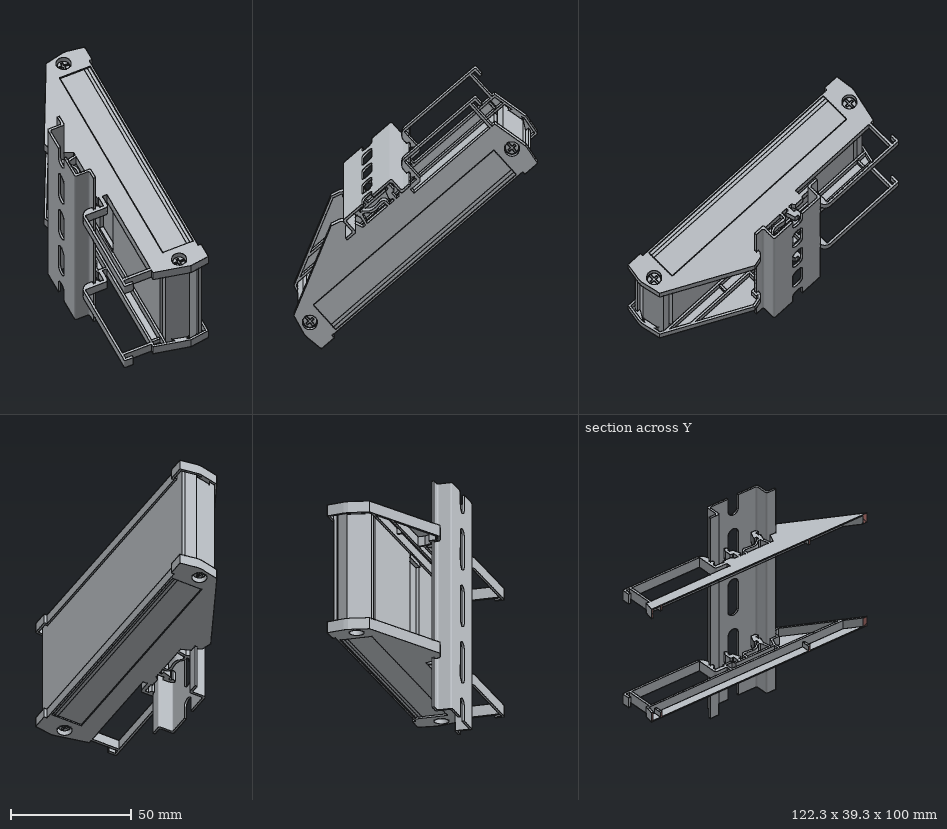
import cadquery as cq


RAIL_LENGTH = 100.0
RAIL_WIDTH = 35.0
RAIL_CHANNEL = 27.0
RAIL_HEIGHT = 7.5
RAIL_THICK = 1.0
RAIL_FRONT = -19.65
RAIL_BEND = 0.8
RAIL_SLOT_LENGTH = 18.0
RAIL_SLOT_WIDTH = 5.4
RAIL_SLOT_PITCH = 25.0

FLANGE_BACK = RAIL_FRONT + RAIL_HEIGHT
FLANGE_FRONT = FLANGE_BACK - RAIL_THICK
FLANGE_END = RAIL_WIDTH / 2
WEB_BACK = RAIL_FRONT + RAIL_THICK

PLATE_THICK = 4.9
PLATE_OUTER = 28.3
PLATE_INNER = PLATE_OUTER - PLATE_THICK
FLOOR_THICK = 0.75
RIM = 1.0
BODY_END = PLATE_OUTER - FLOOR_THICK

PLATE_SIDE = 61.15
EAR_BACK = 19.65
EAR_OUTER = 59.95
EAR_INNER = 52.8
PLATE_BACK = 18.3
PLATE_FRONT = -4.8
CLIP_FRONT = -7.95
STEP_FRONT = -9.3
NOTCH_CORNER = -12.6
STEP_END = 13.0

WINDOW_HALF = 50.0
WINDOW_BACK = 17.4
WINDOW_FRONT = 3.4

RIB_POSITIONS = (-26.0, 53.0)
RIB_DROP = 1.8

BODY_FRONT = 1.25
BODY_BACK = 17.5
BODY_SIDE = 59.2
BODY_WIDEST_Y = 11.2
BODY_FRONT_HALF = 56.9
BODY_NECK_HALF = 56.4
BODY_BACK_HALF = 57.9
SIDE_GROOVE_INNER = 51.9
SIDE_GROOVE_OUTER = 54.0
SIDE_GROOVE_BOTTOM = 3.2
KEYWAY_HALF = 6.2
KEYWAY_DEPTH = 1.5
TAB_LENGTH = 1.8
TAB_PROUD = 0.3

BOARD_BACK = 16.05
BOARD_THICK = 1.45
BOARD_HALF = 53.5

SCREW_X = 56.0
SCREW_Y = 8.0
HEAD_DIA = 5.6
HEAD_HEIGHT = 1.5
HEAD_EDGE = 0.6
HEAD_SINK = 1.9
COUNTERBORE_DIA = 6.2
BOSS_DIA = 8.4
SHANK_DIA = 3.0
SHANK_LENGTH = 10.0
DRIVE_WIDTH = 0.9
DRIVE_DEPTH = 0.8
SLOT_DRIVE_LENGTH = HEAD_DIA
CROSS_DRIVE_LENGTH = 3.6


def box(x0, x1, y0, y1, z0, z1):
    """Axis-aligned block between two corners."""
    return cq.Workplane("XY").box(x1 - x0, y1 - y0, z1 - z0, centered=False).translate((x0, y0, z0))


def plate_layer(points):
    """Closed outline extruded over the full plate thickness."""
    return cq.Workplane("XY").workplane(offset=PLATE_INNER).polyline(points).close().extrude(PLATE_THICK)


def screw_pattern(z):
    """Workplane at height z with a point on each screw axis of one end plate."""
    return cq.Workplane("XY").workplane(offset=z).pushPoints([(-SCREW_X, SCREW_Y), (SCREW_X, SCREW_Y)])


def mirrored(solid):
    """Copy of a solid for the opposite (-Z) end."""
    return solid.mirror("XY")


def make_rail():
    channel = RAIL_CHANNEL / 2
    inside = channel - RAIL_THICK
    half = [
        (channel, RAIL_FRONT),
        (channel, FLANGE_FRONT),
        (FLANGE_END, FLANGE_FRONT),
        (FLANGE_END, FLANGE_BACK),
        (inside, FLANGE_BACK),
        (inside, WEB_BACK),
    ]
    other_half = [(-x, y) for x, y in reversed(half)]
    rail = (
        cq.Workplane("XY").workplane(offset=-RAIL_LENGTH / 2)
        .polyline(half + other_half).close().extrude(RAIL_LENGTH)
    )
    bends = [(x, y) for x in (channel, -channel) for y in (RAIL_FRONT, FLANGE_FRONT)]
    bends += [(x, y) for x in (inside, -inside) for y in (FLANGE_BACK, WEB_BACK)]
    for x, y in bends:
        rail = rail.edges(cq.selectors.NearestToPointSelector((x, y, 0))).fillet(RAIL_BEND)
    slots = (
        cq.Workplane("XZ", origin=(0, WEB_BACK, 0))
        .pushPoints([(0, n * RAIL_SLOT_PITCH) for n in range(-2, 3)])
        .slot2D(RAIL_SLOT_LENGTH, RAIL_SLOT_WIDTH, 90)
        .extrude(RAIL_THICK)
    )
    return rail.cut(slots)


def body_blank():
    """Extruded housing section with its side grooves and the front keyway for the plate tabs."""
    half = [
        (KEYWAY_HALF, BODY_FRONT + KEYWAY_DEPTH),
        (KEYWAY_HALF, BODY_FRONT),
        (SIDE_GROOVE_INNER, BODY_FRONT),
        (SIDE_GROOVE_INNER, SIDE_GROOVE_BOTTOM),
        (SIDE_GROOVE_OUTER, BODY_FRONT),
        (BODY_FRONT_HALF, BODY_FRONT),
        (BODY_SIDE, BODY_WIDEST_Y),
        (BODY_NECK_HALF, BOARD_BACK),
        (BODY_BACK_HALF, BOARD_BACK),
        (BODY_BACK_HALF, BODY_BACK),
    ]
    other_half = [(-x, y) for x, y in reversed(half)]
    return (
        cq.Workplane("XY").workplane(offset=-BODY_END)
        .polyline(half + other_half).close().extrude(2 * BODY_END)
    )


def make_board():
    return box(-BOARD_HALF, BOARD_HALF, BOARD_BACK - BOARD_THICK, BOARD_BACK, -BODY_END, BODY_END)


def make_body(board, screws):
    body = body_blank().cut(board)
    bosses = screw_pattern(PLATE_INNER).circle(BOSS_DIA / 2).extrude(PLATE_THICK)
    body = body.cut(bosses).cut(mirrored(bosses))
    for screw in screws:
        body = body.cut(screw)
    return body


def plate_outline():
    """Plate outline: sloped front left edge, hooked lip over the rail flange, stepped front right edge."""
    return (
        cq.Workplane("XY").workplane(offset=PLATE_INNER)
        .moveTo(-EAR_OUTER, EAR_BACK)
        .lineTo(-PLATE_SIDE, 11.9)
        .lineTo(-PLATE_SIDE, 10.1)
        .lineTo(-59.1, 1.4)
        .lineTo(-22.0, -17.1)
        .lineTo(-19.1, -16.3)
        .threePointArc((-17.2, -15.4), (-16.4, -14.2))
        .lineTo(-16.4, FLANGE_FRONT)
        .lineTo(-FLANGE_END, FLANGE_FRONT)
        .lineTo(-FLANGE_END, FLANGE_BACK)
        .lineTo(-14.4, FLANGE_BACK)
        .lineTo(NOTCH_CORNER, CLIP_FRONT)
        .lineTo(7.6, CLIP_FRONT)
        .lineTo(8.6, STEP_FRONT)
        .lineTo(STEP_END, STEP_FRONT)
        .lineTo(STEP_END, PLATE_FRONT)
        .lineTo(57.7, PLATE_FRONT)
        .lineTo(PLATE_SIDE, 11.1)
        .lineTo(EAR_OUTER, EAR_BACK)
        .lineTo(EAR_INNER, EAR_BACK)
        .lineTo(EAR_INNER, PLATE_BACK)
        .lineTo(-EAR_INNER, PLATE_BACK)
        .lineTo(-EAR_INNER, EAR_BACK)
        .close()
    )


def left_hook():
    """Springy hook that presses into the left inside corner of the rail."""
    return plate_layer([
        (-11.2, CLIP_FRONT + RIM), (-11.2, CLIP_FRONT), (-10.5, -11.7), (-11.65, -15.1),
        (-10.9, -15.5), (-10.9, -17.1), (-12.3, -17.2), (-11.7, WEB_BACK), (-9.4, WEB_BACK),
        (-7.9, -15.4), (-7.9, -14.5), (-9.1, -14.5), (-9.1, -12.0), (-10.15, CLIP_FRONT),
        (-10.15, CLIP_FRONT + RIM),
    ])


def wavy_spring():
    """Curved leaf joining the left hook to the plate front edge."""
    back_curve = [(-6.1, -10.4), (-3.6, -9.75), (-1.6, -10.0)]
    front_curve = [(-3.6, -10.85), (-6.0, -11.5), (-8.2, -13.3)]
    return (
        cq.Workplane("XY").workplane(offset=PLATE_INNER)
        .moveTo(-9.2, -12.0)
        .lineTo(-8.2, -12.0)
        .spline(back_curve, tangents=[(1, 0.3), (1, -0.1)], includeCurrent=True)
        .lineTo(1.05, -10.0)
        .lineTo(1.05, CLIP_FRONT + RIM)
        .lineTo(2.15, CLIP_FRONT + RIM)
        .lineTo(2.15, -9.6)
        .threePointArc((1.45, -10.75), (-0.6, -11.15))
        .spline(front_curve, tangents=[(-1, 0.1), (-1, -0.5)], includeCurrent=True)
        .lineTo(-9.2, -13.3)
        .close()
        .extrude(PLATE_THICK)
    )


def right_hook():
    """Free-standing barbed finger on the plate front edge."""
    return plate_layer([
        (4.7, CLIP_FRONT + RIM), (4.7, -8.9), (3.4, -9.2), (4.7, -13.2), (6.2, -13.4), (6.2, -14.4),
        (5.4, -14.7), (5.9, -16.3), (6.8, -16.3), (7.7, -14.4), (7.7, -11.2), (6.8, -10.9), (6.1, -10.9),
        (6.1, CLIP_FRONT + RIM),
    ])


def release_latch():
    """Spring arm, catch around the right rail flange, and the long release bar with its grip."""
    arm_back = -6.85
    arm_front = -8.55
    arm_inner = 17.6
    arm_outer = 19.0
    corner = 1.4
    catch_face = 16.35
    bar_front = -18.6
    bar_back = -17.5
    grip_inner = 58.05
    grip_outer = 59.2
    grip_top = -14.5
    grip_corner = 0.5
    post_left = 55.0
    post_right = 56.2
    latch = (
        cq.Workplane("XY").workplane(offset=PLATE_INNER)
        .moveTo(STEP_END - RIM, arm_back)
        .lineTo(arm_outer - corner, arm_back)
        .radiusArc((arm_outer, arm_back - corner), corner)
        .lineTo(arm_outer, bar_back)
        .lineTo(grip_inner, bar_back)
        .lineTo(grip_inner, grip_top)
        .lineTo(grip_outer, grip_top)
        .lineTo(grip_outer, bar_front + grip_corner)
        .radiusArc((grip_outer - grip_corner, bar_front), grip_corner)
        .lineTo(19.6, bar_front)
        .threePointArc((17.2, -17.3), (catch_face, -15.0))
        .lineTo(catch_face, FLANGE_FRONT)
        .lineTo(FLANGE_END, FLANGE_FRONT)
        .lineTo(FLANGE_END, FLANGE_BACK)
        .lineTo(catch_face, FLANGE_BACK)
        .lineTo(catch_face, -10.9)
        .lineTo(arm_inner, -10.1)
        .lineTo(arm_inner, arm_front)
        .lineTo(STEP_END - RIM, arm_front)
        .close()
        .extrude(PLATE_THICK)
    )
    post = box(post_left, post_right, bar_back - RIM, PLATE_FRONT + RIM, PLATE_INNER, PLATE_OUTER)
    return latch.union(post)


def inner_walls():
    """Stiffening walls in the plate cavity, ahead of the body, and the lower cross ribs between them."""
    near_body = box(-BODY_SIDE, BODY_SIDE, BODY_FRONT - RIM, BODY_FRONT, PLATE_INNER, PLATE_OUTER)
    front = box(-BODY_SIDE, STEP_END, PLATE_FRONT, PLATE_FRONT + RIM, PLATE_INNER, PLATE_OUTER)
    notch_side = box(
        NOTCH_CORNER - RIM, NOTCH_CORNER, CLIP_FRONT, PLATE_FRONT + RIM, PLATE_INNER, PLATE_OUTER,
    )
    walls = near_body.union(front).union(notch_side)
    for x in RIB_POSITIONS:
        walls = walls.union(box(x, x + RIM, PLATE_FRONT, BODY_FRONT, PLATE_INNER + RIB_DROP, PLATE_OUTER))
    return walls


def make_top_plate():
    blank = plate_outline().extrude(PLATE_THICK)
    cavity = plate_outline().offset2D(-RIM, "intersection").extrude(PLATE_THICK - FLOOR_THICK)
    plate = blank.cut(cavity)
    plate = plate.union(inner_walls().intersect(blank))
    for feature in (left_hook(), wavy_spring(), right_hook(), release_latch()):
        plate = plate.union(feature)

    tab = box(
        -KEYWAY_HALF, KEYWAY_HALF, BODY_FRONT - TAB_PROUD, BODY_FRONT + KEYWAY_DEPTH,
        PLATE_INNER - TAB_LENGTH, PLATE_OUTER,
    )
    bosses = screw_pattern(PLATE_INNER).circle(BOSS_DIA / 2).extrude(PLATE_THICK)
    plate = plate.cut(body_blank()).union(tab).union(bosses)

    window = box(-WINDOW_HALF, WINDOW_HALF, WINDOW_FRONT, WINDOW_BACK, BODY_END, PLATE_OUTER)
    counterbore_depth = HEAD_SINK + HEAD_HEIGHT
    counterbores = (
        screw_pattern(PLATE_OUTER - counterbore_depth)
        .circle(COUNTERBORE_DIA / 2).extrude(counterbore_depth)
    )
    holes = screw_pattern(PLATE_INNER).circle(SHANK_DIA / 2).extrude(PLATE_THICK)
    return plate.cut(window).cut(counterbores).cut(holes)


def make_top_screw(x):
    """Round-edged head with a slot and cross recess, on a plain shank."""
    head_top = PLATE_OUTER - HEAD_SINK
    head_seat = head_top - HEAD_HEIGHT
    drive_floor = head_top - DRIVE_DEPTH
    head = (
        cq.Workplane("XY").workplane(offset=head_seat)
        .circle(HEAD_DIA / 2).extrude(HEAD_HEIGHT)
        .faces(">Z").edges().fillet(HEAD_EDGE)
    )
    shank = cq.Workplane("XY").workplane(offset=head_seat).circle(SHANK_DIA / 2).extrude(-SHANK_LENGTH)
    drive = (
        cq.Workplane("XY").workplane(offset=drive_floor)
        .rect(DRIVE_WIDTH, SLOT_DRIVE_LENGTH).extrude(DRIVE_DEPTH)
    )
    cross = (
        cq.Workplane("XY").workplane(offset=drive_floor)
        .rect(CROSS_DRIVE_LENGTH, DRIVE_WIDTH).extrude(DRIVE_DEPTH)
    )
    return head.union(shank).cut(drive).cut(cross).translate((x, SCREW_Y, 0))


rail = make_rail()
board = make_board()

screws = []
for screw_x in (-SCREW_X, SCREW_X):
    top_screw = make_top_screw(screw_x)
    screws += [top_screw, mirrored(top_screw)]

top_plate = make_top_plate()
plates = [top_plate, mirrored(top_plate)]
body = make_body(board, screws)

bodies = [rail, body, board] + plates + screws
result = cq.Compound.makeCompound([solid for one in bodies for solid in one.solids().vals()])